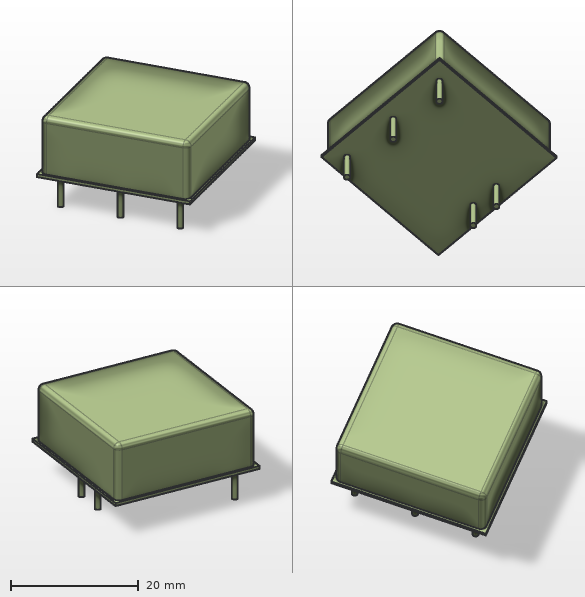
import cadquery as cq

plate_side = 26.0
plate_thickness = 0.55

rim_width = 0.42
cover_side = plate_side - 2 * rim_width
cover_rounding = 1.0

pin_diameter = 1.0
pin_length = 5.65
total_height = 16.0
cover_height = total_height - plate_thickness - pin_length

row_offset = 10.17
pair_offset = row_offset / 4
pin_places = [(x, -row_offset) for x in (-row_offset, 0, row_offset)]
pin_places += [(x, row_offset) for x in (-pair_offset, pair_offset)]


def make_base_plate():
    """Square plate with its underside at Z = 0."""
    return cq.Workplane("XY").rect(plate_side, plate_side).extrude(plate_thickness)


def make_cover():
    """Block on the plate, rounded on its upright and top edges."""
    block = (
        cq.Workplane("XY")
        .workplane(offset=plate_thickness)
        .rect(cover_side, cover_side)
        .extrude(cover_height)
    )
    return block.edges("|Z or >Z").fillet(cover_rounding)


def make_pin(x, y):
    """Round pin hanging from the underside of the plate."""
    return cq.Workplane("XY").center(x, y).circle(pin_diameter / 2).extrude(-pin_length)


base_plate = make_base_plate()
cover = make_cover()
pins = [make_pin(x, y) for x, y in pin_places]

result = cq.Compound.makeCompound([base_plate.val(), cover.val(), *[pin.val() for pin in pins]])